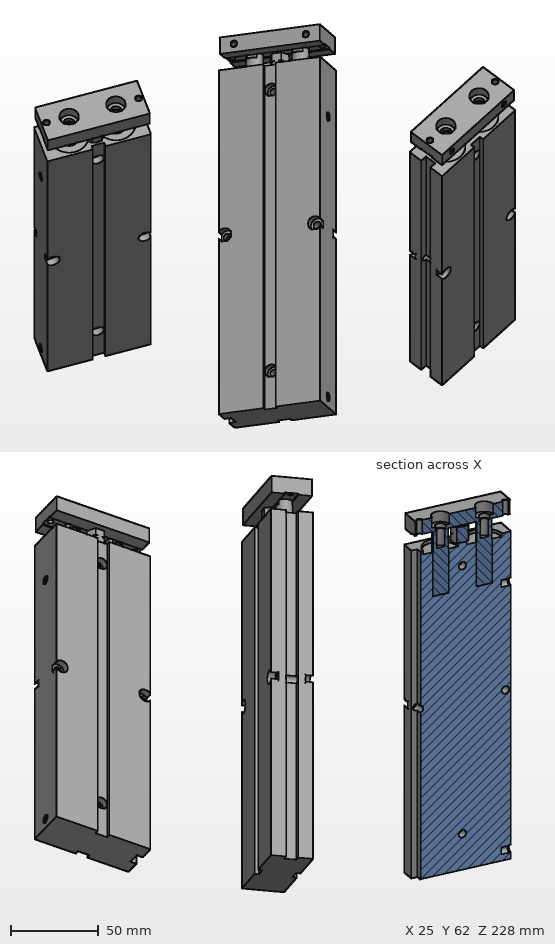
import cadquery as cq
import math

housing_width = 25.0
housing_depth = 62.0
housing_height = 208.0
edge_chamfer = 0.25
groove_width = 7.5
face_groove_depth = 2.5
side_groove_depth = 4.0
side_groove_width = 7.0

mount_hole_diameter = 4.5
groove_bore_diameter = 7.5
edge_bore_diameter = 8.0
edge_bore_depth = 4.5
groove_bore_depth = face_groove_depth + edge_bore_depth
mount_hole_y = 27.5
mount_mid_z = 108.0
mount_spacing_z = 170.0
mount_holes = [
    (0, mount_mid_z - mount_spacing_z / 2, groove_bore_diameter, groove_bore_depth),
    (0, mount_mid_z + mount_spacing_z / 2, groove_bore_diameter, groove_bore_depth),
    (-mount_hole_y, mount_mid_z, edge_bore_diameter, edge_bore_depth),
    (mount_hole_y, mount_mid_z, edge_bore_diameter, edge_bore_depth),
]

port_diameter = 5.0
port_bottom_diameter = 4.13
port_mouth_depth = 1.0
port_depth = 6.0
port_heights = (6.5, 176.0)

rod_diameter = 10.0
rod_y = 14.0
rod_insertion = 30.0
flat_width = 8.0
flat_height = 2.0
recess_diameter = 22.0
recess_depth = 2.0

plate_gap = 10.0
plate_width = 24.0
plate_depth = 61.0
plate_thickness = 10.0
plate_bottom = housing_height + plate_gap
plate_top = plate_bottom + plate_thickness
screw_bore_diameter = 11.0
screw_bore_depth = 6.5
screw_hole_diameter = 6.5
rod_thread_diameter = 4.92
rod_thread_depth = 10.0
thread_diameter = 3.24
thread_mouth_diameter = 4.0
slot_depth = 0.7
plate_hole_y = 27.5
side_hole_y = 22.0
side_hole_depth = 6.0

hex_flats = 10.0
hex_corners = hex_flats / math.cos(math.pi / 6)
hex_x = 3.5
hex_head_height = 5.4
hex_chamfer = 0.6


def cylinder_z(diameter, z_low, z_high, y):
    """Vertical cylinder on the X = 0 plane."""
    return cq.Workplane("XY", origin=(0, y, z_low)).circle(diameter / 2).extrude(z_high - z_low)


def cylinder_x(diameter, x_low, x_high, y, z):
    """Cylinder along X."""
    return cq.Workplane("YZ", origin=(x_low, y, z)).circle(diameter / 2).extrude(x_high - x_low)


def cylinder_from_front(diameter, depth, z):
    """Cylinder going into the housing from its -Y side."""
    plane = cq.Workplane("XZ", origin=(0, -housing_depth / 2 + depth, z))
    return plane.circle(diameter / 2).extrude(depth)


def box_z(width, depth, height, x, y, z_low):
    """Box standing on z_low, centred on (x, y)."""
    return cq.Workplane("XY", origin=(x, y, z_low)).rect(width, depth).extrude(height)


def make_housing():
    half_width = housing_width / 2
    body = box_z(housing_width, housing_depth, housing_height, 0, 0, 0)
    body = body.edges("|Z").chamfer(edge_chamfer)

    for side in (-1, 1):
        body = body.cut(box_z(2 * face_groove_depth, groove_width, housing_height, side * half_width, 0, 0))
    body = body.cut(box_z(side_groove_width, 2 * side_groove_depth, housing_height, 0, housing_depth / 2, 0))

    for y, z, bore_diameter, bore_depth in mount_holes:
        body = body.cut(cylinder_x(mount_hole_diameter, -half_width, half_width, y, z))
        body = body.cut(cylinder_x(bore_diameter, -half_width, -half_width + bore_depth, y, z))
        body = body.cut(cylinder_x(bore_diameter, half_width - bore_depth, half_width, y, z))

    for z in port_heights:
        body = body.cut(cylinder_from_front(port_diameter, port_mouth_depth, z))
        body = body.cut(cylinder_from_front(port_bottom_diameter, port_depth, z))

    for y in (-rod_y, rod_y):
        body = body.cut(cylinder_z(recess_diameter, housing_height - recess_depth, housing_height, y))
        body = body.cut(cylinder_z(rod_diameter, housing_height - rod_insertion, housing_height, y))
    return body


def make_rod(y):
    """Round rod whose flatted tip fits the slot under the end plate."""
    shoulder = plate_bottom - flat_height
    tip_top = plate_bottom + slot_depth
    rod = cylinder_z(rod_diameter, housing_height - rod_insertion, shoulder, y)
    tip = cylinder_z(rod_diameter, shoulder, tip_top, y)
    flats = box_z(flat_width, rod_diameter, tip_top - shoulder, 0, y, shoulder)
    return rod.union(tip.intersect(flats))


def make_hex(z_low, height):
    """Hexagonal prism with two corners along Y."""
    base = cq.Workplane("XY", origin=(hex_x, 0, z_low)).transformed(rotate=(0, 0, 90))
    return base.polygon(6, hex_corners).extrude(height)


def make_bolt_head():
    """Hexagon whose corners are bevelled at both ends."""
    base = cq.Workplane("XY", origin=(hex_x, 0, housing_height))
    envelope = base.circle(hex_corners / 2).extrude(hex_head_height).faces("|Z").chamfer(hex_chamfer)
    return make_hex(housing_height, hex_head_height).intersect(envelope)


def make_tapped_hole(mouth, direction, depth):
    """Hole going in from its mouth, with a 45 degree countersink."""
    start = cq.Vector(*mouth)
    inward = cq.Vector(*direction)
    hole_radius = thread_diameter / 2
    mouth_radius = thread_mouth_diameter / 2
    hole = cq.Solid.makeCylinder(hole_radius, depth, start, inward)
    sink = cq.Solid.makeCone(mouth_radius, hole_radius, mouth_radius - hole_radius, start, inward)
    return cq.Workplane(hole.fuse(sink))


def make_slide():
    body = box_z(plate_width, plate_depth, plate_thickness, 0, 0, plate_bottom)
    body = body.cut(box_z(flat_width, plate_depth, slot_depth, 0, 0, plate_bottom))
    for y in (-rod_y, rod_y):
        body = body.union(make_rod(y))

    nut_bottom = housing_height + hex_head_height
    body = body.union(make_hex(nut_bottom, plate_bottom - nut_bottom))
    body = body.union(make_bolt_head())

    for y in (-rod_y, rod_y):
        body = body.cut(cylinder_z(screw_bore_diameter, plate_top - screw_bore_depth, plate_top, y))
        body = body.cut(cylinder_z(screw_hole_diameter, plate_bottom + slot_depth, plate_top, y))
        body = body.cut(cylinder_z(rod_thread_diameter, plate_bottom - rod_thread_depth, plate_top, y))
    for y in (-plate_hole_y, plate_hole_y):
        body = body.cut(make_tapped_hole((0, y, plate_top), (0, 0, -1), plate_thickness))

    face_x = -plate_width / 2
    mid_z = plate_bottom + plate_thickness / 2
    for y in (-side_hole_y, side_hole_y):
        body = body.cut(make_tapped_hole((face_x, y, mid_z), (1, 0, 0), side_hole_depth))
    return body


housing = make_housing()
slide = make_slide()
result = cq.Compound.makeCompound([housing.val(), slide.val()])